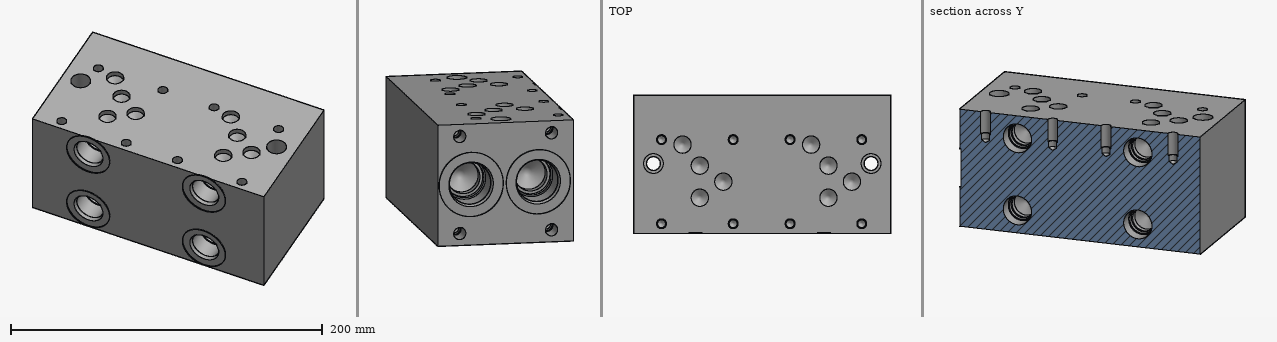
import cadquery as cq
import math

LENGTH = 165.1
WIDTH = 88.9
HEIGHT = 79.375

DRILL_POINT_ANGLE = 118.0

STATION_PITCH = LENGTH / 2
STATION_SHIFT_X = 0.4
STATION_CENTER_X = STATION_PITCH / 2 - STATION_SHIFT_X
STATION_X = [STATION_CENTER_X, STATION_CENTER_X + STATION_PITCH]
STATION_CENTER_Y = 33.35
VALVE_BOLT_SPAN_X = 46.0
VALVE_BOLT_SPAN_Y = 54.0
PASSAGE_OFFSETS = [(16.7, 0.0), (1.6, 10.3), (1.6, -10.3), (-9.5, 23.8)]
PASSAGE_DIAMETER = 11.12
PASSAGE_DEPTH = 3.5

MOUNT_EDGE_X = 12.7
MOUNT_Y = 45.0
MOUNT_DIAMETER = 8.74
MOUNT_CBORE_DIAMETER = 12.7
MOUNT_CBORE_DEPTH = 40.0

SPOTFACE_DEPTH = 0.76
SIDE_PORT_OFFSET_X = -1.2
SIDE_PORT_EDGE_Z = 15.35
SIDE_PORT = {
    "spotface": 30.63, "seat": 20.6, "seat_end": 19.25, "seat_depth": 2.5,
    "thread": 19.05, "thread_depth": 15.0, "minor": 17.5, "minor_depth": 18.0,
    "bore": 15.88, "depth": 22.0,
}
END_PORT_CENTER_Y = 45.0
END_PORT_SPACING = 44.0
END_PORT = {
    "spotface": 42.04, "seat": 29.2, "seat_end": 27.43, "seat_depth": 3.3,
    "thread": 27.0, "thread_depth": 20.0, "minor": 24.92, "minor_depth": 24.0,
    "bore": 21.18, "depth": 30.0,
}

VALVE_BOLT_THREAD = 6.35
VALVE_BOLT_THREAD_DEPTH = 15.0
VALVE_BOLT_DRILL = 5.11
VALVE_BOLT_DRILL_DEPTH = 19.0
FLANGE_BOLT_THREAD = 7.92
FLANGE_BOLT_THREAD_DEPTH = 15.0
FLANGE_BOLT_DRILL = 6.53
FLANGE_BOLT_DRILL_DEPTH = 19.0
FLANGE_BOLT_SPAN_Y = 60.2
FLANGE_BOLT_SPAN_Z = 63.5


def drill_point(radius):
    """Length of the conical point left by a drill of the given radius."""
    return radius / math.tan(math.radians(DRILL_POINT_ANGLE / 2))


def bored_hole(steps):
    """Tool body running down -Z from the origin, through (diameter, depth) steps to a drill point."""
    last_diameter, last_depth = steps[-1]
    outline = [(diameter / 2, -depth) for diameter, depth in steps]
    tip_depth = last_depth + drill_point(last_diameter / 2)
    profile = [(0, 0)] + outline + [(0, -tip_depth)]
    return cq.Workplane("XZ").polyline(profile).close().revolve(360, (0, 0, 0), (0, 1, 0))


def tapped_hole(thread, thread_depth, drill, drill_depth):
    return bored_hole([(thread, 0), (thread, thread_depth), (drill, thread_depth), (drill, drill_depth)])


def port(size):
    """Spotface, tapered seal seat, thread and stepped drilled bottom."""
    seat_bottom = SPOTFACE_DEPTH + size["seat_depth"]
    return bored_hole([
        (size["spotface"], 0),
        (size["spotface"], SPOTFACE_DEPTH),
        (size["seat"], SPOTFACE_DEPTH),
        (size["seat_end"], seat_bottom),
        (size["thread"], seat_bottom),
        (size["thread"], size["thread_depth"]),
        (size["minor"], size["thread_depth"]),
        (size["minor"], size["minor_depth"]),
        (size["bore"], size["minor_depth"]),
        (size["bore"], size["depth"]),
    ])


def on_top(tool, x, y):
    return tool.translate((x, y, HEIGHT))


def on_front(tool, x, z):
    return tool.rotate((0, 0, 0), (1, 0, 0), 90).translate((x, 0, z))


def on_end(tool, y, z):
    return tool.rotate((0, 0, 0), (0, 1, 0), -90).translate((0, y, z))


def cut_valve_station(block, center_x):
    bolt = tapped_hole(
        VALVE_BOLT_THREAD, VALVE_BOLT_THREAD_DEPTH, VALVE_BOLT_DRILL, VALVE_BOLT_DRILL_DEPTH
    )
    for side_x in (-1, 1):
        for side_y in (-1, 1):
            x = center_x + side_x * VALVE_BOLT_SPAN_X / 2
            y = STATION_CENTER_Y + side_y * VALVE_BOLT_SPAN_Y / 2
            block = block.cut(on_top(bolt, x, y))
    passage = bored_hole([(PASSAGE_DIAMETER, 0), (PASSAGE_DIAMETER, PASSAGE_DEPTH)])
    for offset_x, offset_y in PASSAGE_OFFSETS:
        block = block.cut(on_top(passage, center_x + offset_x, STATION_CENTER_Y + offset_y))
    return block


def cut_side_ports(block, center_x):
    tool = port(SIDE_PORT)
    for z in (SIDE_PORT_EDGE_Z, HEIGHT - SIDE_PORT_EDGE_Z):
        block = block.cut(on_front(tool, center_x + SIDE_PORT_OFFSET_X, z))
    return block


def cut_end_ports(block):
    tool = port(END_PORT)
    for side in (-1, 1):
        y = END_PORT_CENTER_Y + side * END_PORT_SPACING / 2
        block = block.cut(on_end(tool, y, HEIGHT / 2))
    return block


def cut_flange_bolts(block):
    bolt = tapped_hole(
        FLANGE_BOLT_THREAD, FLANGE_BOLT_THREAD_DEPTH, FLANGE_BOLT_DRILL, FLANGE_BOLT_DRILL_DEPTH
    )
    for side_y in (-1, 1):
        for side_z in (-1, 1):
            y = WIDTH / 2 + side_y * FLANGE_BOLT_SPAN_Y / 2
            z = HEIGHT / 2 + side_z * FLANGE_BOLT_SPAN_Z / 2
            block = block.cut(on_end(bolt, y, z))
    return block


def cut_mounting_holes(block):
    return (
        block.faces(">Z").workplane(origin=(0, 0, HEIGHT))
        .pushPoints([(MOUNT_EDGE_X, MOUNT_Y), (LENGTH - MOUNT_EDGE_X, MOUNT_Y)])
        .cboreHole(MOUNT_DIAMETER, MOUNT_CBORE_DIAMETER, MOUNT_CBORE_DEPTH)
    )


result = cq.Workplane("XY").box(LENGTH, WIDTH, HEIGHT, centered=False)
result = cut_mounting_holes(result)
for station_x in STATION_X:
    result = cut_valve_station(result, station_x)
    result = cut_side_ports(result, station_x)
result = cut_end_ports(result)
result = cut_flange_bolts(result)